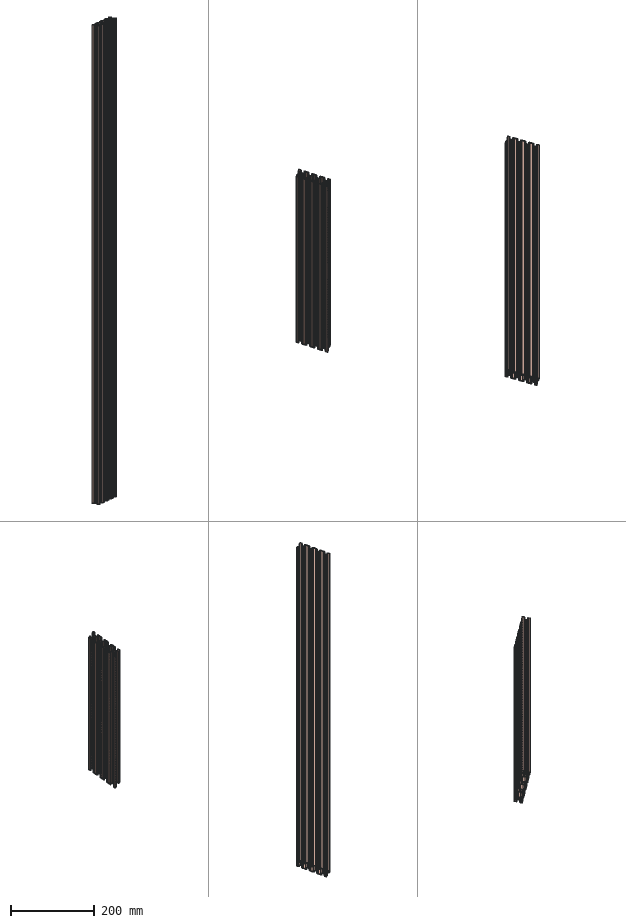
import cadquery as cq

LENGTH = 1200.0
CELL = LENGTH / 60
CELL_COUNT = 4
CORNER_RADIUS = 0.4

MOUTH_WIDTH = 9.2
NECK_WIDTH = 6.2
CHAMBER_WIDTH = 11.0
LIP = 1.8
CORE_WIDTH = 7.8
WEB = 1.5
GROOVE_WIDTH = 1.0

BORE_DIAMETER = 4.2
CUT_MARGIN = 1.0

HALF_CELL = CELL / 2
TOTAL_WIDTH = CELL * CELL_COUNT
MOUTH_HALF = MOUTH_WIDTH / 2
NECK_HALF = NECK_WIDTH / 2
CHAMBER_HALF = CHAMBER_WIDTH / 2
CORE_HALF = CORE_WIDTH / 2
GROOVE_HALF = GROOVE_WIDTH / 2
WEB_SHIFT = WEB / 2**0.5
CORE_FLAT_HALF = CORE_HALF - WEB_SHIFT
CELL_CENTERS = [CELL * (i - (CELL_COUNT - 1) / 2) for i in range(CELL_COUNT)]
JOINT_CENTERS = [CELL * (i - CELL_COUNT / 2) for i in range(1, CELL_COUNT)]


def prism(outline):
    """Extrude a closed XY outline over the full length."""
    return cq.Workplane("XY").polyline(outline).close().extrude(LENGTH)


def with_mirror_image(half_outline):
    """Complete an outline with its mirror image across the X axis."""
    return half_outline + [(x, -y) for x, y in reversed(half_outline)]


def slot_cutter():
    """Slot that opens toward +X, for a cell centred on the Z axis."""
    taper_depth = MOUTH_HALF - NECK_HALF
    half_outline = [
        (CORE_HALF, GROOVE_HALF),
        (CORE_HALF, CORE_FLAT_HALF),
        (CHAMBER_HALF + WEB_SHIFT, CHAMBER_HALF),
        (HALF_CELL - LIP, CHAMBER_HALF),
        (HALF_CELL - LIP, NECK_HALF),
        (HALF_CELL - taper_depth, NECK_HALF),
        (HALF_CELL, MOUTH_HALF),
        (HALF_CELL + CUT_MARGIN, MOUTH_HALF),
    ]
    groove_bottom = (CORE_HALF - GROOVE_HALF, 0)
    return prism([groove_bottom] + with_mirror_image(half_outline))


def cut_slot(body, cutter, y, angle):
    """Cut a slot into the cell centred at y, opening at the given angle from +X."""
    return body.cut(cutter.rotate((0, 0, 0), (0, 0, 1), angle).translate((0, y, 0)))


def joint_cavity():
    """Closed hollow between two neighbouring cores, centred on the Z axis."""
    side_half = HALF_CELL - CHAMBER_HALF - LIP
    end_half = HALF_CELL - CORE_HALF
    side_corner = HALF_CELL - side_half - WEB_SHIFT
    return prism(with_mirror_image([
        (-HALF_CELL + LIP, side_half),
        (-side_corner, side_half),
        (-CORE_FLAT_HALF, end_half),
        (CORE_FLAT_HALF, end_half),
        (side_corner, side_half),
        (HALF_CELL - LIP, side_half),
    ]))


bar = cq.Workplane("XY").box(CELL, TOTAL_WIDTH, LENGTH, centered=(True, True, False))
bar = bar.edges("|Z").fillet(CORNER_RADIUS)

slot = slot_cutter()
for cell_y in CELL_CENTERS:
    for angle in (0, 180):
        bar = cut_slot(bar, slot, cell_y, angle)

bar = cut_slot(bar, slot, CELL_CENTERS[-1], 90)
bar = cut_slot(bar, slot, CELL_CENTERS[0], -90)

bore = cq.Workplane("XY").circle(BORE_DIAMETER / 2).extrude(LENGTH)
for cell_y in CELL_CENTERS:
    bar = bar.cut(bore.translate((0, cell_y, 0)))

cavity = joint_cavity()
for joint_y in JOINT_CENTERS:
    bar = bar.cut(cavity.translate((0, joint_y, 0)))

result = bar